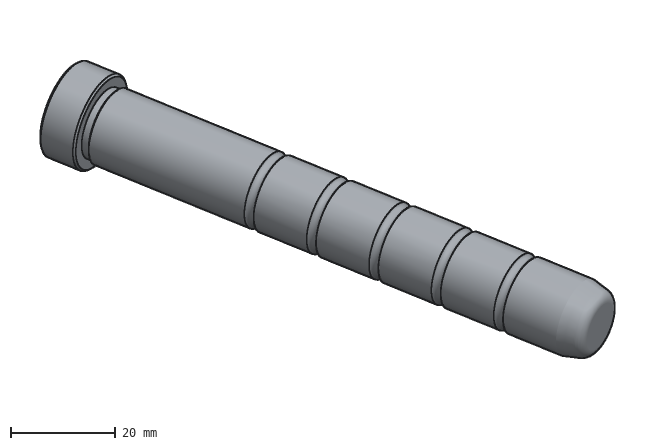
import cadquery as cq
import math

length = 120.0
head_radius = 20.0 / 2
head_length = 8.0
head_chamfer = 0.42
shaft_radius = 16.0 / 2

neck_radius = 7.5
neck_end = 10.0
neck_slope_length = 0.4

groove_count = 5
first_groove = 46.0
last_groove = 102.0
groove_radius = 1.1
groove_depth = 0.78
groove_pitch = (last_groove - first_groove) / (groove_count - 1)

taper_start = 115.0
taper_angle = math.radians(14)
nose_radius = 2.3

hole_mouth_radius = 2.5
hole_radius = 1.5
countersink_half_angle = math.radians(45)
drill_half_angle = math.radians(60)
hole_depth = 4.8


def make_body():
    """Revolve the head, neck, shaft and rounded tapered nose about X."""
    nose_center_x = length - nose_radius
    nose_center_r = (
        shaft_radius
        - (nose_center_x - taper_start) * math.tan(taper_angle)
        - nose_radius / math.cos(taper_angle)
    )

    def nose_point(angle):
        return (
            nose_center_x + nose_radius * math.cos(angle),
            nose_center_r + nose_radius * math.sin(angle),
        )

    taper_normal = math.pi / 2 - taper_angle
    profile = (
        cq.Workplane("XY")
        .moveTo(0, 0)
        .lineTo(0, head_radius - head_chamfer)
        .lineTo(head_chamfer, head_radius)
        .lineTo(head_length - head_chamfer, head_radius)
        .lineTo(head_length, head_radius - head_chamfer)
        .lineTo(head_length, neck_radius)
        .lineTo(neck_end - neck_slope_length, neck_radius)
        .lineTo(neck_end, shaft_radius)
        .lineTo(taper_start, shaft_radius)
        .lineTo(*nose_point(taper_normal))
        .threePointArc(nose_point(taper_normal / 2), nose_point(0))
        .lineTo(length, 0)
        .close()
    )
    return profile.revolve(360, (0, 0, 0), (1, 0, 0))


def make_groove(center):
    """Ring-shaped cutter with a circular section centred just outside the shaft surface."""
    ring_radius = shaft_radius - groove_depth + groove_radius
    return cq.Workplane("XY").center(center, ring_radius).circle(groove_radius).revolve(
        360, (-center, -ring_radius, 0), (1.2 - center, -ring_radius, 0)
    )


def make_center_hole():
    """Countersunk blind hole with a conical drill point."""
    countersink_depth = (hole_mouth_radius - hole_radius) / math.tan(countersink_half_angle)
    point_depth = hole_radius / math.tan(drill_half_angle)
    profile = cq.Workplane("XY").polyline([
        (0, 0),
        (0, hole_mouth_radius),
        (countersink_depth, hole_radius),
        (hole_depth, hole_radius),
        (hole_depth + point_depth, 0),
    ]).close()
    return profile.revolve(360, (0, 0, 0), (1, 0, 0))


result = make_body().cut(make_center_hole())
for index in range(groove_count):
    result = result.cut(make_groove(first_groove + index * groove_pitch))